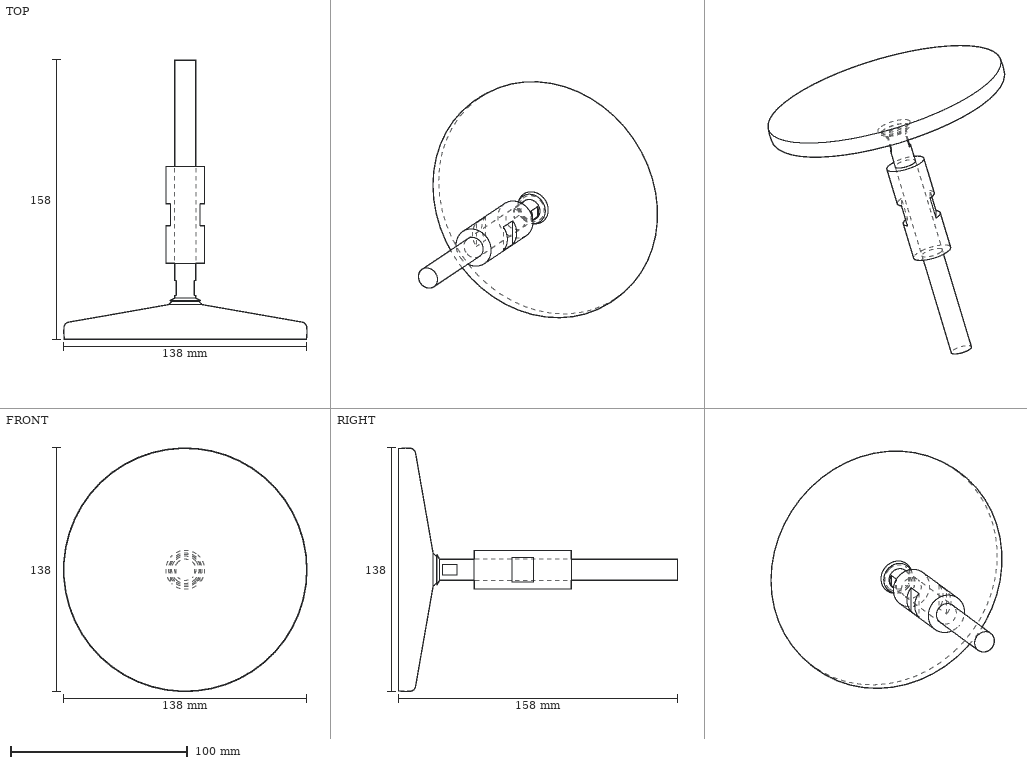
import cadquery as cq

total_length = 158.0
base_y = -total_length / 2

foot_diameter = 138.0
base_diameter = 137.3
widest_height = 4.1
edge_height = 7.1
shoulder_height = 9.8
edge_diameter = 137.6
shoulder_diameter = 132.7
shoulder_mid_inset = 0.8
shoulder_mid_height = 8.7
neck_base_height = 19.8
neck_base_diameter = 19.0
neck_top_diameter = 15.5
joint_height = 21.5

rod_diameter = 12.0
flange_diameter = 17.4
flange_height = 22.0
flange_top_height = 23.4
spindle_flat_start = 25.0
spindle_flat_length = 8.2
spindle_flat_width = 10.5

sleeve_diameter = 22.0
sleeve_start = 43.0
sleeve_length = 55.0
sleeve_flat_length = 12.3
sleeve_flat_width = 16.9


def revolve_about_y(outline):
    """Spin a half profile about Y and place it above the base plane."""
    return outline.close().revolve(360, (0, 0, 0), (0, 1, 0)).translate((0, base_y, 0))


def cut_flats(body, diameter, start, length, across):
    """Mill two opposite wrench flats facing -X and +X."""
    depth = (diameter - across) / 2
    for side in (-1, 1):
        cutter = cq.Workplane("XY").box(depth, length, diameter).translate(
            (side * (across + depth) / 2, base_y + start + length / 2, 0)
        )
        body = body.cut(cutter)
    return body


def make_foot():
    outline = (
        cq.Workplane("XY")
        .lineTo(base_diameter / 2, 0)
        .lineTo(foot_diameter / 2, widest_height)
        .lineTo(edge_diameter / 2, edge_height)
        .threePointArc(
            (edge_diameter / 2 - shoulder_mid_inset, shoulder_mid_height),
            (shoulder_diameter / 2, shoulder_height),
        )
        .lineTo(neck_base_diameter / 2, neck_base_height)
        .lineTo(neck_top_diameter / 2, joint_height)
        .lineTo(0, joint_height)
    )
    return revolve_about_y(outline)


def make_spindle():
    outline = (
        cq.Workplane("XY")
        .moveTo(0, joint_height)
        .lineTo(neck_top_diameter / 2, joint_height)
        .lineTo(flange_diameter / 2, flange_height)
        .lineTo(rod_diameter / 2, flange_top_height)
        .lineTo(rod_diameter / 2, total_length)
        .lineTo(0, total_length)
    )
    spindle = revolve_about_y(outline)
    return cut_flats(spindle, rod_diameter, spindle_flat_start, spindle_flat_length, spindle_flat_width)


def make_sleeve():
    sleeve = revolve_about_y(
        cq.Workplane("XY")
        .moveTo(rod_diameter / 2, sleeve_start)
        .lineTo(sleeve_diameter / 2, sleeve_start)
        .lineTo(sleeve_diameter / 2, sleeve_start + sleeve_length)
        .lineTo(rod_diameter / 2, sleeve_start + sleeve_length)
    )
    flat_start = sleeve_start + (sleeve_length - sleeve_flat_length) / 2
    return cut_flats(sleeve, sleeve_diameter, flat_start, sleeve_flat_length, sleeve_flat_width)


foot = make_foot()
spindle = make_spindle()
sleeve = make_sleeve()

result = cq.Compound.makeCompound([foot.val(), spindle.val(), sleeve.val()])